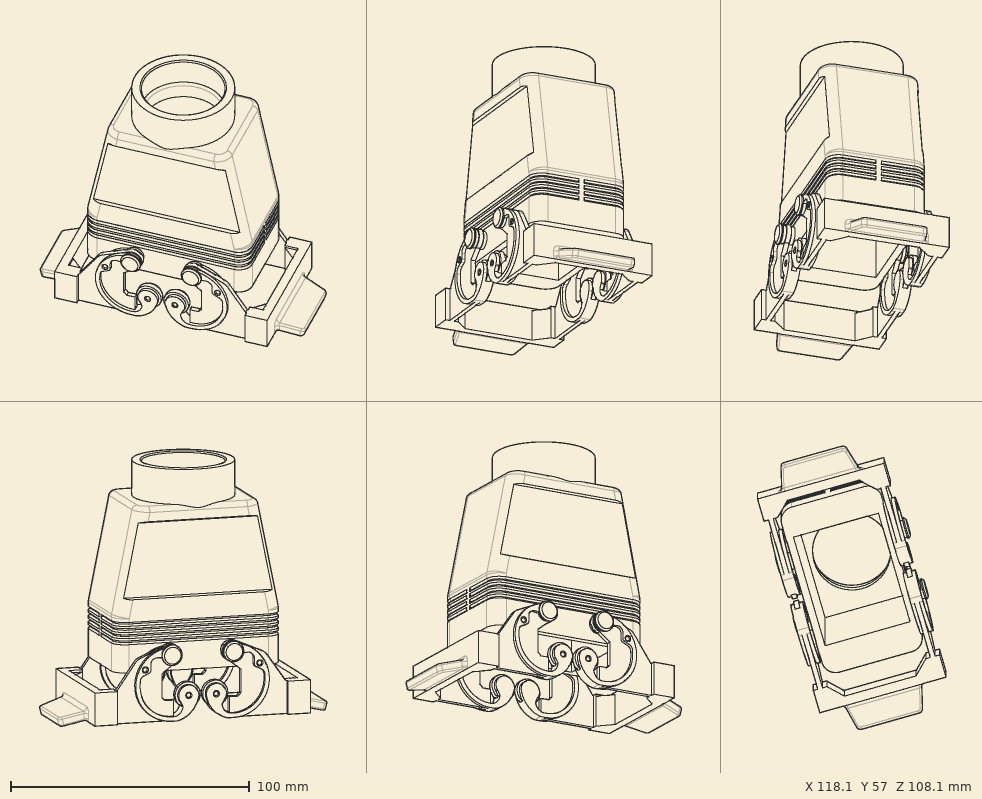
import cadquery as cq
import math

hood_half_x = 36.5
hood_half_y = 21.75
hood_height = 70.2
hood_top_half_x = 27.1
taper_start_z = 23.7
taper_blend_radius = 6.0
hood_corner_radius = 6.0
hood_top_radius = 2.3
kink_search = 2.0

panel_depth = 1.3
panel_bottom_z = 31.7
panel_top_z = 63.4
panel_end_slope = 0.6

groove_count = 4
groove_pitch = 2.62
groove_width = 1.65
groove_depth = 0.85
top_groove_z = 20.7
groove_gap = 2.4
groove_clearance = 1.0

cavity_half_x = 24.0
cavity_half_y = 18.5
roof_thickness = 3.4
collar_radius = 21.6
collar_top_z = 85.2
bore_radius = 17.5
bore_depth = 11.4
bore_chamfer = 0.6
entry_radius = 16.4

lever_mid_y = 24.5
lever_bottom_z = -20.7
rim_thickness = 5.2
web_thickness = 2.1

pin_x = -13.5
pin_z = 7.6
pin_radius = 4.4
pin_chamfer = 0.8
pin_tip_y = 28.5
pin_boss_radius = 3.9
pin_engagement = 1.5

ring_outer_radius = 15.8
ring_inner_radius = 13.9
ring_z = lever_bottom_z + ring_outer_radius

rivet_x = -25.1
rivet_z = 1.95
roller_x = -6.05
roller_z = -10.05
roller_radius = 5.5
roller_boss_radius = 4.4
dimple_radius = 1.35
dimple_floor_radius = 0.95
dimple_depth = 0.4

mouth_x = -17.3
mouth_bottom_z = -12.0
mouth_top_z = -0.5
mouth_corner = 1.4
mouth_end_x = -12.2
web_corner_x = -37.0
web_nose = (-12.4, 3.3)
web_top_slope = 22.8
shoulder_start = (-27.0, 6.6)
shoulder_middle = (-28.2, 5.8)
shoulder_end = (-29.1, 4.75)

rim_root = (pin_x, 6.0)
boss_top = (-19.3, 6.8)
boss_shoulder = (-21.7, 6.2)
boss_side_top = (-22.7, 4.2)
boss_side_bottom = (-22.7, 1.6)
boss_corner = (-22.9, 0.9)
boss_base_start = (-23.5, 0.4)
boss_base_end = (-25.7, -0.6)
boss_fillet = (-26.9, -1.6)
ring_start_angle = 174
ring_end_angle = 275
ring_middle_angle = (ring_start_angle + ring_end_angle) / 2

hook_throat = (-9.4, -16.9)
hook_tip = (-8.6, -14.6)
hook_neck = (-9.1, -13.5)
hook_neck_end = (-9.9, -12.2)
hook_outer_middle = (-4.1, -16.2)
hook_outer_end_x = -11.0

yoke_outer_x = 47.3
yoke_bar_thickness = 4.0
yoke_arm_end_x = 37.4
yoke_half_y = 27.5
yoke_arm_inner_y = 21.5
yoke_bottom_z = lever_bottom_z
yoke_top_z = -6.5
gusset_leg = yoke_outer_x - yoke_bar_thickness - yoke_arm_end_x
gusset_drop = 1.0

tab_tilt = 15.0
tab_thickness = 4.0
tab_length = 12.35
tab_root_half_y = 17.0
tab_tip_half_y = 14.0
tab_embed = 2.0
tab_top_root_z = -16.02
tab_corner_radius = 2.0
tab_edge_radius = 0.8
tab_root_radius = 1.9
tab_root_search = 0.05


def slab(profile_points, y_middle, thickness):
    """Prism with a straight-sided XZ outline, centred on y_middle."""
    outline = cq.Workplane("XZ", origin=(0, y_middle, 0)).polyline(profile_points).close()
    return outline.extrude(thickness / 2, both=True)


def disc(x, z, radius, y_middle, thickness):
    """Round disc whose axis runs along Y."""
    plane = cq.Workplane("XZ", origin=(x, y_middle, z))
    return plane.circle(radius).extrude(thickness / 2, both=True)


def ring_point(radius, angle):
    """Point (x, z) on a circle about the lever ring centre, angle in degrees from +X."""
    turn = math.radians(angle)
    return (pin_x + radius * math.cos(turn), ring_z + radius * math.sin(turn))


def hood_blank():
    """Tapered box with blended kinks, rounded corners and a rounded top edge."""
    profile = [
        (-hood_half_x, 0),
        (hood_half_x, 0),
        (hood_half_x, taper_start_z),
        (hood_top_half_x, hood_height),
        (-hood_top_half_x, hood_height),
        (-hood_half_x, taper_start_z),
    ]
    body = slab(profile, 0, 2 * hood_half_y)
    for side in (-1, 1):
        kink = cq.selectors.BoxSelector(
            (side * hood_half_x - kink_search, -kink_search, taper_start_z - kink_search),
            (side * hood_half_x + kink_search, kink_search, taper_start_z + kink_search),
        )
        body = body.edges(kink).fillet(taper_blend_radius)
    corners = body.faces("|Y").edges("not(<Z or >Z)")
    body = corners.fillet(hood_corner_radius)
    return body.faces(">Z").edges().fillet(hood_top_radius)


def panel_recess():
    """Prism removed from the -Y side, with sloping lower and upper ends."""
    floor_y = -hood_half_y + panel_depth
    profile = [
        (floor_y, panel_bottom_z),
        (floor_y, panel_top_z),
        (-hood_half_y, panel_top_z + panel_end_slope),
        (-hood_half_y, panel_bottom_z - panel_end_slope),
    ]
    return cq.Workplane("YZ").polyline(profile).close().extrude(hood_half_x, both=True)


def plan_outline(inset):
    """Rounded rectangle of the hood's plan, shrunk all round by inset."""
    width = 2 * (hood_half_x - inset)
    depth = 2 * (hood_half_y - inset)
    return cq.Sketch().rect(width, depth).vertices().fillet(hood_corner_radius - inset)


def plan_frustum(z_low, inset_low, inset_high):
    """Half the height of a groove, following the hood's plan from one inset to another."""
    height = groove_width / 2
    upper_outline = plan_outline(inset_high).moved(cq.Location(cq.Vector(0, 0, height)))
    base = cq.Workplane("XY", origin=(0, 0, z_low))
    return base.placeSketch(plan_outline(inset_low), upper_outline).loft()


def groove(z_middle):
    """V groove cutter running round the hood except across the gaps."""
    length = 2 * (hood_half_x + groove_clearance)
    width = 2 * (hood_half_y + groove_clearance)
    middle = cq.Workplane("XY", origin=(0, 0, z_middle))
    lower_core = plan_frustum(z_middle - groove_width / 2, 0, groove_depth)
    upper_core = plan_frustum(z_middle, groove_depth, 0)
    gap = middle.box(length, groove_gap, groove_width)
    return middle.box(length, width, groove_width).cut(lower_core).cut(upper_core).cut(gap)


def hood():
    """Hollow hood with recessed panels, grooves and the cable collar."""
    body = hood_blank()
    recess = panel_recess()
    body = body.cut(recess).cut(recess.mirror("XZ"))
    for i in range(groove_count):
        body = body.cut(groove(top_groove_z - i * groove_pitch))
    cavity_height = hood_height - roof_thickness
    roof_base = cq.Workplane("XY", origin=(0, 0, cavity_height))
    collar = roof_base.circle(collar_radius).extrude(collar_top_z - cavity_height)
    cavity = cq.Workplane("XY").rect(2 * cavity_half_x, 2 * cavity_half_y).extrude(cavity_height)
    return body.union(collar).cut(cavity).cut(cable_entry(cavity_height))


def cable_entry(z_low):
    """Stepped bore with a chamfered mouth and a rounded ledge."""
    ledge = bore_radius - entry_radius
    ledge_z = collar_top_z - bore_depth
    arc_middle = (
        bore_radius - ledge * math.sin(math.pi / 4),
        ledge_z - ledge * (1 - math.cos(math.pi / 4)),
    )
    half_section = (
        cq.Workplane("XZ")
        .moveTo(0, z_low)
        .lineTo(entry_radius, z_low)
        .lineTo(entry_radius, ledge_z - ledge)
        .threePointArc(arc_middle, (bore_radius, ledge_z))
        .lineTo(bore_radius, collar_top_z - bore_chamfer)
        .lineTo(bore_radius + bore_chamfer, collar_top_z)
        .lineTo(0, collar_top_z)
        .close()
    )
    return half_section.revolve(360, (0, 0, 0), (0, 1, 0))


def lever_web():
    """Thin plate from the yoke to the pin, with an open mouth facing the roller."""
    slope = math.radians(web_top_slope)
    pin_tangent = (pin_x - pin_radius * math.sin(slope), pin_z + pin_radius * math.cos(slope))
    return (
        cq.Workplane("XZ", origin=(0, -lever_mid_y, 0))
        .moveTo(-yoke_arm_end_x, lever_bottom_z)
        .lineTo(pin_x, lever_bottom_z)
        .lineTo(mouth_end_x, ring_z - ring_inner_radius)
        .lineTo(mouth_end_x, mouth_bottom_z)
        .lineTo(mouth_x + mouth_corner, mouth_bottom_z)
        .lineTo(mouth_x, mouth_bottom_z + mouth_corner)
        .lineTo(mouth_x, mouth_top_z)
        .lineTo(*web_nose)
        .lineTo(pin_x, pin_z)
        .lineTo(*pin_tangent)
        .lineTo(*shoulder_start)
        .threePointArc(shoulder_middle, shoulder_end)
        .lineTo(web_corner_x, yoke_top_z)
        .lineTo(-yoke_arm_end_x, yoke_top_z)
        .close()
        .extrude(web_thickness / 2, both=True)
    )


def lever_rim():
    """Thick curved rim from the pin, past the rivet and round the hook to the roller."""
    return (
        cq.Workplane("XZ", origin=(0, -lever_mid_y, 0))
        .moveTo(*boss_top)
        .threePointArc(boss_shoulder, boss_side_top)
        .lineTo(*boss_side_bottom)
        .threePointArc(boss_corner, boss_base_start)
        .lineTo(*boss_base_end)
        .threePointArc(boss_fillet, ring_point(ring_inner_radius, ring_start_angle))
        .threePointArc(
            ring_point(ring_inner_radius, ring_middle_angle), ring_point(ring_inner_radius, ring_end_angle)
        )
        .threePointArc(hook_throat, hook_tip)
        .threePointArc(hook_neck, hook_neck_end)
        .lineTo(roller_x, roller_z)
        .lineTo(roller_x + roller_boss_radius, roller_z)
        .threePointArc(hook_outer_middle, (hook_outer_end_x, lever_bottom_z))
        .lineTo(pin_x, lever_bottom_z)
        .threePointArc(ring_point(ring_outer_radius, 180), ring_point(ring_outer_radius, 90))
        .lineTo(*rim_root)
        .close()
        .extrude(rim_thickness / 2, both=True)
    )


def dimple(x, z):
    """Conical dimple in the outer face of the rim."""
    face_y = -lever_mid_y - rim_thickness / 2
    cone = cq.Solid.makeCone(
        dimple_radius,
        dimple_floor_radius,
        dimple_depth,
        pnt=cq.Vector(x, face_y, z),
        dir=cq.Vector(0, 1, 0),
    )
    return cq.Workplane(obj=cone)


def pin():
    """Chamfered pin head outside the lever, and a shank reaching into the hood wall."""
    rim_outer_y = lever_mid_y + rim_thickness / 2
    inner_y = hood_half_y - pin_engagement
    blank = disc(pin_x, pin_z, pin_radius, -(pin_tip_y + rim_outer_y) / 2, pin_tip_y - rim_outer_y)
    head = blank.faces("<Y").chamfer(pin_chamfer)
    shank = disc(pin_x, pin_z, pin_boss_radius, -(rim_outer_y + inner_y) / 2, rim_outer_y - inner_y)
    return head.union(shank)


def lever():
    """Lever plate, rim, roller and pin joined, with a dimple at the rivet and at the roller."""
    body = lever_web().union(lever_rim())
    body = body.union(disc(roller_x, roller_z, roller_radius, -lever_mid_y, web_thickness))
    body = body.union(disc(roller_x, roller_z, roller_boss_radius, -lever_mid_y, rim_thickness))
    body = body.union(disc(pin_x, pin_z, pin_radius, -lever_mid_y, web_thickness))
    body = body.union(pin())
    return body.cut(dimple(rivet_x, rivet_z)).cut(dimple(roller_x, roller_z))


def yoke():
    """U-shaped bar at the -X end, with a gusset in each inner corner."""
    bar_inner_x = yoke_outer_x - yoke_bar_thickness
    outline = [
        (-yoke_outer_x, -yoke_half_y),
        (-yoke_arm_end_x, -yoke_half_y),
        (-yoke_arm_end_x, -yoke_arm_inner_y),
        (-bar_inner_x, -yoke_arm_inner_y),
        (-bar_inner_x, yoke_arm_inner_y),
        (-yoke_arm_end_x, yoke_arm_inner_y),
        (-yoke_arm_end_x, yoke_half_y),
        (-yoke_outer_x, yoke_half_y),
    ]
    base = cq.Workplane("XY", origin=(0, 0, yoke_bottom_z))
    body = base.polyline(outline).close().extrude(yoke_top_z - yoke_bottom_z)
    corner = [
        (-bar_inner_x, -yoke_arm_inner_y),
        (-bar_inner_x + gusset_leg, -yoke_arm_inner_y),
        (-bar_inner_x, -yoke_arm_inner_y + gusset_leg),
    ]
    gusset = base.polyline(corner).close().extrude(yoke_top_z - gusset_drop - yoke_bottom_z)
    return body.union(gusset).union(gusset.mirror("XZ"))


def finger_tab():
    """Tapered plate, rounded at its edges and tilted down away from the yoke."""
    outline = [
        (tab_embed, -tab_root_half_y),
        (0, -tab_root_half_y),
        (-tab_length, -tab_tip_half_y),
        (-tab_length, tab_tip_half_y),
        (0, tab_root_half_y),
        (tab_embed, tab_root_half_y),
    ]
    plate = cq.Workplane("XY").polyline(outline).close().extrude(-tab_thickness)
    plate = plate.edges("|Z and <X").fillet(tab_corner_radius)
    plate = plate.faces("|Z").edges("not >X").fillet(tab_edge_radius)
    plate = plate.rotate((0, 0, 0), (0, 1, 0), -tab_tilt)
    return plate.translate((-yoke_outer_x, 0, tab_top_root_z))


def yoke_with_tab():
    """Yoke and tab blended together along the top and ends of the tab's root."""
    body = yoke().union(finger_tab())
    root = cq.selectors.BoxSelector(
        (-yoke_outer_x - tab_root_search, -yoke_arm_inner_y, yoke_bottom_z + tab_root_search),
        (-yoke_outer_x + tab_root_search, yoke_arm_inner_y, yoke_top_z - tab_root_search),
    )
    return body.edges(root).fillet(tab_root_radius)


def end_assembly():
    """Yoke, tab and both levers at the -X end."""
    near_lever = lever()
    return yoke_with_tab().union(near_lever).union(near_lever.mirror("XZ"))


end = end_assembly()
result = hood().union(end).union(end.mirror("YZ"))